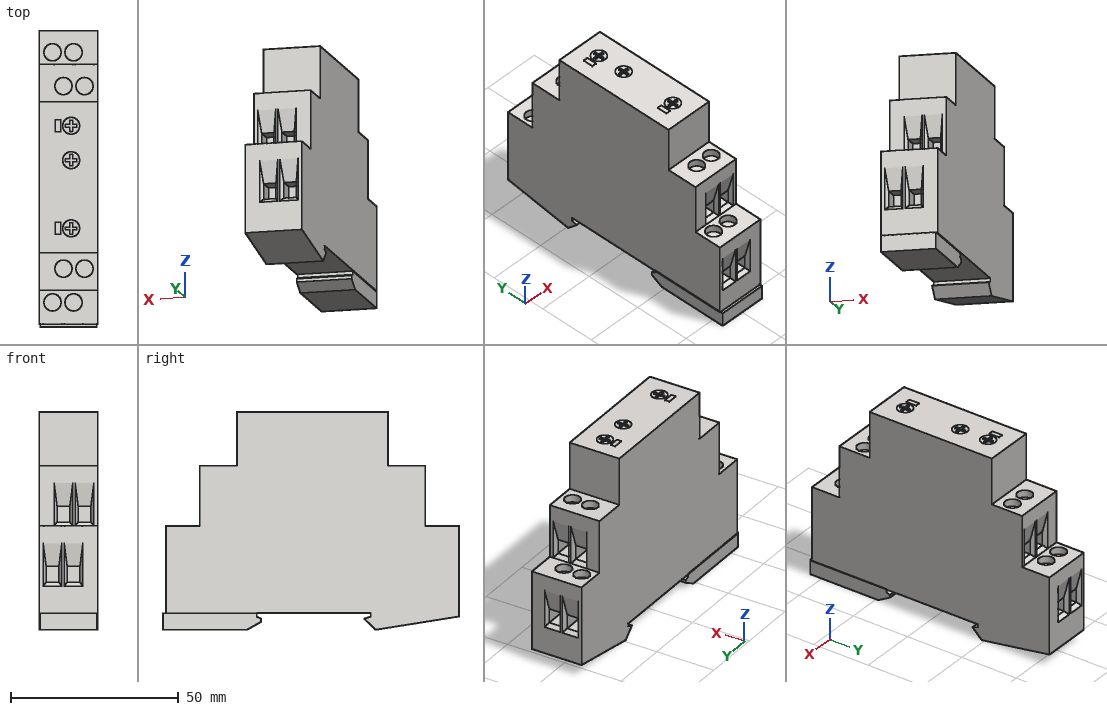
import cadquery as cq


width = 17.5
height = 65.0
lower_half_length = 43.7
middle_half_length = 33.7
upper_half_length = 22.5
floor_z = 5.0
lower_step_z = 31.0
upper_step_z = 48.95

rail_lip_z = 4.0
rail_nose_z = 3.4
hook_back_z = 4.0
hook_neck_y = 17.3
hook_nose_y = 15.4
hook_tip_y = 18.8

clip_width = 17.0
clip_front_y = -44.6
clip_neck_y = -16.6
clip_nose_y = -15.3
clip_nose_low_z = 2.4
clip_base_y = -19.5

terminal_pitch = 6.3
terminal_outer_x = 4.8
terminal_inner_x = terminal_outer_x - terminal_pitch
driver_hole_diameter = 5.1
driver_hole_depth = 2.5
lower_driver_hole_y = 37.3
upper_driver_hole_y = 27.2

funnel_width = 5.6
funnel_height = 12.7
funnel_drop = upper_step_z - lower_step_z - funnel_height
funnel_depth = 1.3
wire_hole_width = 3.8
wire_hole_height = 4.8
wire_hole_rise = 1.15
wire_hole_depth = 7.1

screw_x = 0.8
back_screw_y = 15.4
middle_screw_y = 5.1
front_screw_y = -15.2
screw_diameter = 5.0
screw_depth = 2.65
cross_span = 3.45
cross_arm_width = 0.8
cross_depth = 0.9
window_x = -3.1
window_width = 1.6
window_length = 3.6
window_depth = 0.9

screw_ys = (back_screw_y, middle_screw_y, front_screw_y)
window_ys = (back_screw_y, front_screw_y)


def extrude_across(points, across):
    """Extrude a closed (y, z) outline symmetrically about X = 0."""
    return cq.Workplane("YZ").polyline(points).close().extrude(across / 2, both=True)


def block_below(x, y, z_top, size_x, size_y, depth):
    """A rectangular block centred at (x, y) and hanging down from z_top."""
    return cq.Workplane("XY", origin=(x, y, z_top)).rect(size_x, size_y).extrude(-depth)


def cylinder_below(x, y, z_top, diameter, depth):
    """An upright cylinder centred at (x, y) and hanging down from z_top."""
    return cq.Workplane("XY", origin=(x, y, z_top)).circle(diameter / 2).extrude(-depth)


def screw_blank(y):
    return cylinder_below(screw_x, y, height, screw_diameter, screw_depth)


def indicator_window(y):
    return block_below(window_x, y, height, window_width, window_length, window_depth)


def driver_hole(x, y, step_z):
    return cylinder_below(x, y, step_z, driver_hole_diameter, driver_hole_depth)


def wire_entry(x, face_y, side, step_z):
    """Tapered funnel and straight wire hole, cut inwards from the end face at side * face_y."""
    bottom_z = step_z - funnel_drop - funnel_height
    mouth_z = bottom_z + funnel_height / 2
    hole_z = bottom_z + wire_hole_rise + wire_hole_height / 2
    funnel = (
        cq.Workplane("XZ", origin=(x, side * face_y, mouth_z))
        .rect(funnel_width, funnel_height)
        .workplane(offset=side * funnel_depth)
        .center(0, hole_z - mouth_z)
        .rect(wire_hole_width, wire_hole_height)
        .loft(ruled=True)
    )
    wire_hole = (
        cq.Workplane("XZ", origin=(x, side * (face_y - funnel_depth), hole_z))
        .rect(wire_hole_width, wire_hole_height)
        .extrude(side * (wire_hole_depth - funnel_depth))
    )
    return funnel.union(wire_hole)


def make_housing():
    outline = [
        (-lower_half_length, floor_z),
        (-lower_half_length, lower_step_z),
        (-middle_half_length, lower_step_z),
        (-middle_half_length, upper_step_z),
        (-upper_half_length, upper_step_z),
        (-upper_half_length, height),
        (upper_half_length, height),
        (upper_half_length, upper_step_z),
        (middle_half_length, upper_step_z),
        (middle_half_length, lower_step_z),
        (lower_half_length, lower_step_z),
        (lower_half_length, hook_back_z),
        (hook_tip_y, 0),
        (hook_nose_y, rail_nose_z),
        (hook_neck_y, rail_lip_z),
        (hook_neck_y, floor_z),
    ]
    body = extrude_across(outline, width)

    terminal_rows = (
        (-1, lower_half_length, lower_driver_hole_y, lower_step_z),
        (1, middle_half_length, upper_driver_hole_y, upper_step_z),
    )
    for x_sign, face_y, hole_y, step_z in terminal_rows:
        for x in (x_sign * terminal_outer_x, x_sign * terminal_inner_x):
            for side in (-1, 1):
                body = body.cut(driver_hole(x, side * hole_y, step_z))
                body = body.cut(wire_entry(x, face_y, side, step_z))

    for y in screw_ys:
        body = body.cut(screw_blank(y))
    for y in window_ys:
        body = body.cut(indicator_window(y))
    return body


def make_rail_clip():
    outline = [
        (clip_front_y, 0),
        (clip_front_y, floor_z),
        (clip_neck_y, floor_z),
        (clip_neck_y, rail_lip_z),
        (clip_nose_y, rail_nose_z),
        (clip_nose_y, clip_nose_low_z),
        (clip_base_y, 0),
    ]
    return extrude_across(outline, clip_width)


def make_screw(y):
    """Flush screw with a cross recess whose arm ends are rounded to a common circle."""
    arm_along_x = block_below(screw_x, y, height, cross_span, cross_arm_width, cross_depth)
    arm_along_y = block_below(screw_x, y, height, cross_arm_width, cross_span, cross_depth)
    cross_limit = cylinder_below(screw_x, y, height, cross_span, cross_depth)
    return screw_blank(y).cut(arm_along_x.union(arm_along_y).intersect(cross_limit))


housing = make_housing()
rail_clip = make_rail_clip()
screws = [make_screw(y) for y in screw_ys]
windows = [indicator_window(y) for y in window_ys]

result = cq.Compound.makeCompound(
    [housing.val(), rail_clip.val()]
    + [screw.val() for screw in screws]
    + [window.val() for window in windows]
)